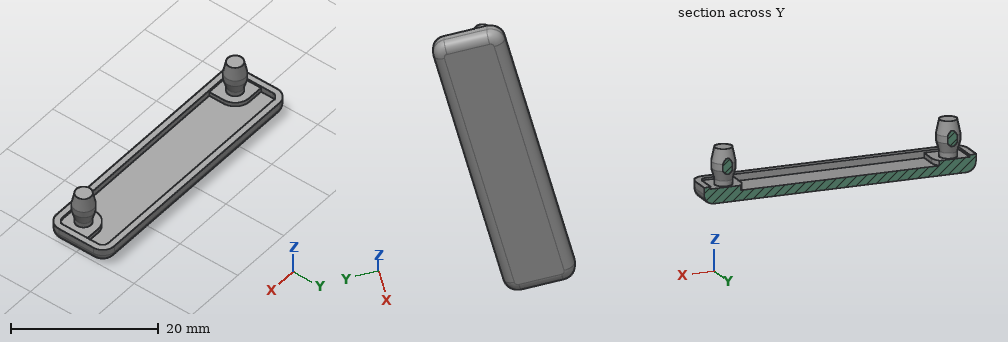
import cadquery as cq

length = 40.0
width = 10.0
tray_height = 2.5
corner_radius = 2.0
bottom_fillet = 1.5

wall = 1.0
floor_thickness = 1.5
recess_radius = corner_radius - wall
recess_length = length - 2 * wall
recess_width = width - 2 * wall

pin_inset = 3.5
pin_x = length / 2 - pin_inset
pin_y = -(width / 2 - pin_inset)
pad_radius = 2.5
pad_top = 2.2

neck_radius = 2.5 / 2
band_radius = 3.35 / 2
neck_top = 3.0
band_bottom = 4.5
band_top = 5.5
pin_top = 7.5


def rounded_block(size_x, size_y, height, radius):
    """Block centred on the Z axis, standing on Z = 0, with rounded vertical edges."""
    block = cq.Workplane("XY").box(size_x, size_y, height, centered=(True, True, False))
    return block.edges("|Z").fillet(radius)


def make_recess():
    """Volume removed from the top of the tray."""
    recess = rounded_block(recess_length, recess_width, tray_height - floor_thickness, recess_radius)
    return recess.translate((0, 0, floor_thickness))


def make_tray(recess):
    body = rounded_block(length, width, tray_height, corner_radius)
    body = body.faces("<Z").edges().fillet(bottom_fillet)
    return body.cut(recess)


def make_pad(recess):
    """Pad filling the recess corner at +X, -Y, with its inner corner rounded about the pin."""
    corner_x = recess_length / 2
    corner_y = -recess_width / 2
    pad = (
        cq.Workplane("XY")
        .workplane(offset=floor_thickness)
        .moveTo(corner_x, corner_y)
        .lineTo(corner_x, pin_y + pad_radius)
        .lineTo(pin_x, pin_y + pad_radius)
        .radiusArc((pin_x - pad_radius, pin_y), -pad_radius)
        .lineTo(pin_x - pad_radius, corner_y)
        .close()
        .extrude(pad_top - floor_thickness)
    )
    return pad.intersect(recess)


def make_pin():
    """Pin turned about a vertical axis, rooted at the tray floor."""
    profile = (
        cq.Workplane("XZ")
        .moveTo(0, floor_thickness)
        .lineTo(neck_radius, floor_thickness)
        .lineTo(neck_radius, neck_top)
        .lineTo(band_radius, band_bottom)
        .lineTo(band_radius, band_top)
        .lineTo(neck_radius, pin_top)
        .lineTo(0, pin_top)
        .close()
    )
    pin = profile.revolve(360, (0, 0, 0), (0, 1, 0))
    return pin.translate((pin_x, pin_y, 0))


recess_volume = make_recess()
mount = make_pad(recess_volume).union(make_pin())
result = make_tray(recess_volume).union(mount).union(mount.mirror("YZ"))